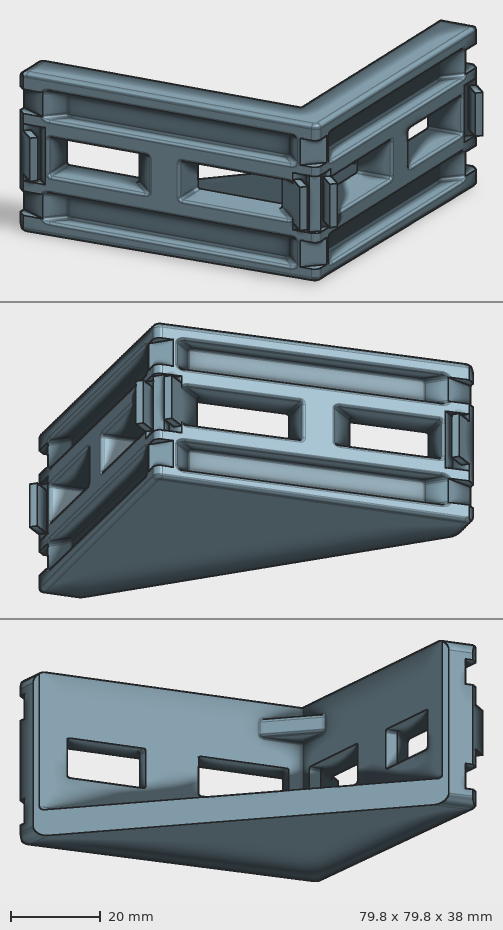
import cadquery as cq
import math

OVERALL = 79.8
TAB_REACH = 3.7
LEG = OVERALL - TAB_REACH
HEIGHT = 38.0
HALF = HEIGHT / 2
WALL = 8.8
END_CHAMFER = 1.7
END_DEPTH = 7.7
GUSSET = 6.0
END_RADIUS = 2.5
CORNER_RADIUS = 1.6
EDGE_RADIUS = 1.1
WEB_RADIUS = 0.9
INNER_CORNER_RADIUS = 0.4
BOTTOM_RISE = 0.8

RIB_LEG = 10.9
RIB_THICK = 4.15
RIB_MIDDLE = 13.0
RIB_EDGE_RADIUS = 0.7
RIB_SEAM_RADIUS = 0.4

SLOT_SPANS = [(48.3, 68.1), (12.1, 34.95)]
SLOT_HEIGHT = 9.2
SLOT_SLOPE_DEPTH = 5.9
SLOT_CORNER = 0.6
MOUTH_RADIUS = 0.6

GROOVE_START = 5.0
GROOVE_END = 69.9
GROOVE_DEPTH = 4.4
GROOVE_HEIGHT = 6.9
GROOVE_OFFSET = 12.05
GROOVE_CORNER = 0.95
GROOVE_ROUND = 0.55

END_NOTCH_HEIGHT = 5.75
END_NOTCH_DEPTH = 3.5
END_NOTCH_LENGTH = 6.95
CORNER_NOTCH_HEIGHT = 6.3
CORNER_NOTCH = 4.3

TAB_HEIGHT = 10.2
TAB_THICK = 1.8
TAB_ROOT = 0.8
RELIEF_HEIGHT = 13.5
END_TAB = LEG - END_CHAMFER
END_RELIEF_DEPTH = 2.8
INNER_TAB = SLOT_SPANS[1][0] - SLOT_SLOPE_DEPTH
INNER_RELIEF_DEPTH = 2.15
RELIEFS = [(-END_TAB, END_RELIEF_DEPTH), (-INNER_TAB, INNER_RELIEF_DEPTH)]
CORNER_FLAT = 2.7

MARGIN = 0.8
NEAR_ZERO = 0.01


def prism(points, height, middle=0.0):
    """Vertical prism on an XY outline, centred on the height `middle`."""
    base = cq.Workplane("XY").workplane(offset=middle - height / 2)
    return base.polyline(points).close().extrude(height)


def on_both_legs(shape):
    """The shape together with its mirror image on the other leg."""
    return shape.union(shape.mirror((1, 1, 0)))


def below_web(height):
    """Everything lower than a tilted plane that lies `height` above the base along the sloping side."""
    span = (LEG + END_DEPTH) / math.sqrt(2)
    slope = BOTTOM_RISE / span
    overrun = LEG
    section = [
        (-overrun, -HEIGHT),
        (span + overrun, -HEIGHT),
        (span + overrun, height - slope * overrun),
        (-overrun, height + slope * (span + overrun)),
    ]
    diagonal = cq.Plane(origin=(0, 0, -HALF), xDir=(-1, 1, 0), normal=(1, 1, 0))
    return cq.Workplane(diagonal).polyline(section).close().extrude(2 * LEG, both=True)


def make_body():
    """Bracket with its edges rounded, hollowed between the legs above the web."""
    outline = [
        (0, 0),
        (-LEG + END_CHAMFER, 0),
        (-LEG, END_CHAMFER),
        (-LEG, END_DEPTH),
        (-END_DEPTH, LEG),
        (-END_CHAMFER, LEG),
        (0, LEG - END_CHAMFER),
    ]
    body = prism(outline, HEIGHT).cut(below_web(0))
    body = body.faces("<X or >Y").edges("not |Z").fillet(END_RADIUS)
    outer_corner = cq.selectors.NearestToPointSelector((0, 0, 0))
    body = body.edges(outer_corner).fillet(CORNER_RADIUS)
    body = body.faces("<Y or >X").edges("<Z or >Z").fillet(EDGE_RADIUS)
    pocket = prism([(-WALL, WALL), (-WALL - LEG, WALL), (-WALL, WALL + LEG)], 2 * HEIGHT)
    inner_corner = cq.selectors.NearestToPointSelector((-WALL, WALL, 0))
    pocket = pocket.edges(inner_corner).fillet(INNER_CORNER_RADIUS).cut(below_web(GUSSET))
    pocket = pocket.faces("<Z").edges().fillet(WEB_RADIUS)
    return body.cut(pocket)


def make_rib():
    """Triangular rib in the inner corner, sunk slightly into both legs."""
    heel = (-WALL + MARGIN, WALL - MARGIN)
    reach = RIB_LEG + 2 * MARGIN
    rib = prism([heel, (heel[0] - reach, heel[1]), (heel[0], heel[1] + reach)], RIB_THICK, RIB_MIDDLE)
    sloping_face = cq.selectors.DirectionMinMaxSelector(cq.Vector(-1, 1, 0))
    return rib.faces(sloping_face).edges("<Z or >Z").fillet(RIB_EDGE_RADIUS)


def blend_rib(body):
    """Fillet the seam between the rib and the two inner walls."""
    reach = RIB_THICK / 2 + RIB_SEAM_RADIUS
    far = WALL + RIB_LEG + MARGIN
    near = WALL - NEAR_ZERO
    lowest = (-far, near, RIB_MIDDLE - reach)
    highest = (-near, far, RIB_MIDDLE + reach)
    seam = cq.selectors.BoxSelector(lowest, highest, boundingbox=True)
    return body.edges(seam).fillet(RIB_SEAM_RADIUS)


def make_slot(near, far):
    """Through slot with a 45 degree outer part on its wall nearer the outer corner."""
    mouth = near - SLOT_SLOPE_DEPTH
    through = WALL + MARGIN
    outline = [(-far, 0), (-far, through), (-near, through), (-near, SLOT_SLOPE_DEPTH), (-mouth, 0)]
    slot = prism(outline, SLOT_HEIGHT)
    return slot.edges("not (|X or |Z)").fillet(SLOT_CORNER)


def make_groove(middle):
    """Blind groove whose end walls lean at 45 degrees."""
    outline = [
        (-GROOVE_END, 0),
        (-GROOVE_END + GROOVE_DEPTH, GROOVE_DEPTH),
        (-GROOVE_START - GROOVE_DEPTH, GROOVE_DEPTH),
        (-GROOVE_START, 0),
    ]
    groove = prism(outline, GROOVE_HEIGHT, middle)
    groove = groove.edges("not (|X or |Z)").fillet(GROOVE_CORNER)
    return groove.faces(">Y").edges().fillet(GROOVE_ROUND)


def make_openings():
    """All slots and grooves of the front leg."""
    openings = make_groove(GROOVE_OFFSET).union(make_groove(-GROOVE_OFFSET))
    for near, far in SLOT_SPANS:
        openings = openings.union(make_slot(near, far))
    return openings


def round_mouths(body):
    """Round the rims of the slots and grooves on both outer faces."""
    inset = EDGE_RADIUS + MARGIN
    reach = LEG - inset
    top = HALF - inset
    front = cq.selectors.BoxSelector((-reach, -NEAR_ZERO, -top), (-inset, NEAR_ZERO, top), boundingbox=True)
    side = cq.selectors.BoxSelector((-NEAR_ZERO, inset, -top), (NEAR_ZERO, reach, top), boundingbox=True)
    return body.edges(front + side).fillet(MOUTH_RADIUS)


def make_notches():
    """Notches in line with the grooves, at the leg end and across the outer corner."""
    slope = END_NOTCH_DEPTH / END_NOTCH_LENGTH
    end_outline = [
        (-LEG + END_NOTCH_LENGTH, 0),
        (-LEG + END_NOTCH_LENGTH + MARGIN, -slope * MARGIN),
        (-LEG - MARGIN, -slope * MARGIN),
        (-LEG - MARGIN, END_NOTCH_DEPTH + slope * MARGIN),
    ]
    corner_outline = [(-CORNER_NOTCH - MARGIN, -MARGIN), (MARGIN, -MARGIN), (MARGIN, CORNER_NOTCH + MARGIN)]
    notches = cq.Workplane("XY")
    for middle in (-GROOVE_OFFSET, GROOVE_OFFSET):
        notches = notches.union(prism(end_outline, END_NOTCH_HEIGHT, middle))
        notches = notches.union(prism(corner_outline, CORNER_NOTCH_HEIGHT, middle))
    return notches


def make_relief(start, depth):
    """V groove with 45 degree flanks, open to the outer face."""
    outline = [
        (start - MARGIN, -MARGIN),
        (start + depth, depth),
        (start + 2 * depth + MARGIN, -MARGIN),
    ]
    return prism(outline, RELIEF_HEIGHT)


def make_tab(start):
    """Tab standing on the outer flank of its V relief, reaching out at 45 degrees."""
    step = TAB_THICK / math.sqrt(2)
    root = (start - TAB_ROOT, TAB_ROOT)
    tip = (start + TAB_REACH, -TAB_REACH)
    outline = [root, tip, (tip[0] + step, tip[1] + step), (root[0] + step, root[1] + step)]
    return prism(outline, TAB_HEIGHT)


def make_corner_flat():
    """Cutter that flattens the outer corner between the inner reliefs."""
    outline = [(-CORNER_FLAT - MARGIN, -MARGIN), (MARGIN, -MARGIN), (MARGIN, CORNER_FLAT + MARGIN)]
    return prism(outline, RELIEF_HEIGHT)


result = make_body().union(make_rib())
result = blend_rib(result)
result = result.cut(on_both_legs(make_openings()))
result = round_mouths(result)
result = result.cut(on_both_legs(make_notches()))
result = result.cut(make_corner_flat())
for start, depth in RELIEFS:
    result = result.cut(on_both_legs(make_relief(start, depth)))
for start, _ in RELIEFS:
    result = result.union(on_both_legs(make_tab(start)))